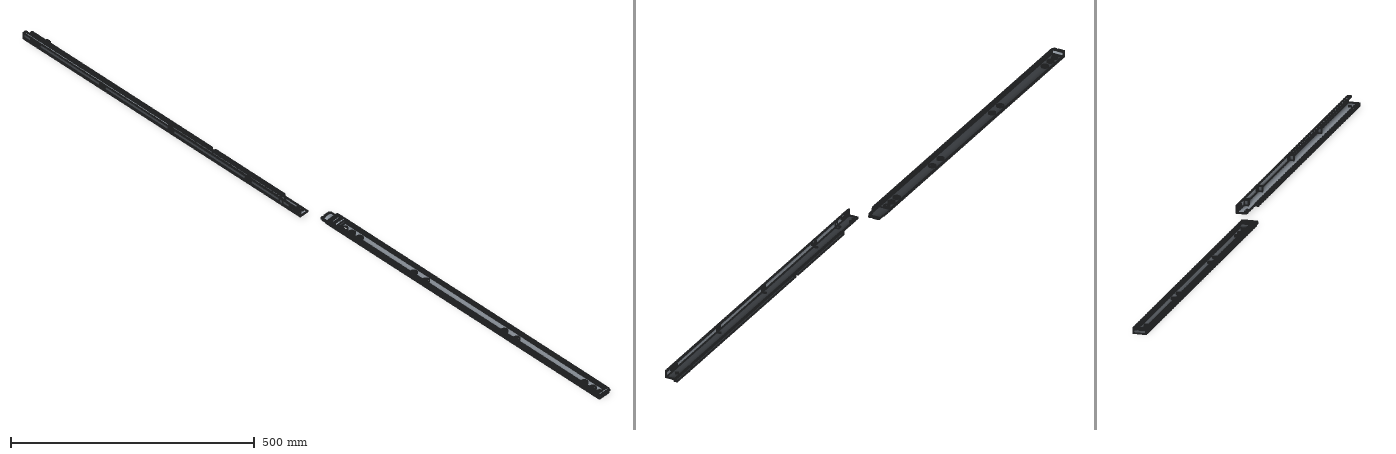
import cadquery as cq

LENGTH = 1617.33
WIDTH = 59.55
HEIGHT = 23.24
X_MIN, X_MAX = -LENGTH / 2, LENGTH / 2
Y_MIN, Y_MAX = -WIDTH / 2, WIDTH / 2
Z_MIN, Z_MAX = -HEIGHT / 2, HEIGHT / 2

SHEET = 1.5

BRACKET_LENGTH = 789.0
BRACKET_END = X_MIN + BRACKET_LENGTH
TAB_DEPTH = 2.5
WALL_Y = Y_MIN + TAB_DEPTH
FLOOR_TOP = -2.0
FLOOR_BOTTOM = FLOOR_TOP - SHEET
FLOOR_EDGE_Y = -5.5
WALL_HOLE_Z = 5.0
WALL_HOLE_DIAMETER = 8.0
WALL_HOLE_X = (-581.0, -386.0, -165.0)
WALL_SLOT_LENGTH = 25.0
WALL_SLOT_X = (-775.0, -38.0)
FLANGE_WIDTH = 7.5
FLANGE_END = -397.0
LUGS = ((-590.0, 4.0), (-395.0, 4.0), (-173.0, 4.0), (-76.0, 10.0))
LUG_REACH = 10.0
LUG_TOP = 9.0
FLOOR_HOLE_DIAMETER = 5.0
FLOOR_HOLES = ((-783.0, -15.0), (-42.0, -10.0), (-31.0, -10.0))
OUTER_TABS = ((-168.0, 12.0), (-39.0, 16.0))
TAB_HEIGHT = 8.0

STRIP_LENGTH = 720.0
STRIP_END = X_MIN + STRIP_LENGTH
STRIP_BACK_Y = -1.0
STRIP_FRONT_Y = -8.0
STRIP_BOTTOM = -7.0
NOTCH_WIDTH = 9.0
EDGE_NOTCH_X = -291.0
FACE_NOTCH_X = -739.0
FACE_NOTCH_DEPTH = 2.0
NIB_X = -765.0
NIB_LENGTH = 9.0
NIB_REACH = 3.5

RAIL_START = 8.5
RAIL_WIDTH = 28.0
RAIL_HEIGHT = 10.8
RAIL_TOP = Z_MIN + RAIL_HEIGHT
RAIL_MID_Y = Y_MAX - RAIL_WIDTH / 2
LIP_WIDTH = 4.0
GROOVE_HEIGHT = 3.0
GROOVE_DEPTH = 0.5
FRONT_TONGUE = 18.0
REAR_TONGUE = 4.0
CHANNEL_START = RAIL_START + FRONT_TONGUE
CHANNEL_END = X_MAX - REAR_TONGUE
WALL_CHAMFER_LENGTH = 5.0
TONGUE_HEIGHT = 5.0
FRONT_STOP_LENGTH = 24.0
STOP_GROOVES = (36.0, 46.0)
STOP_GROOVE_WIDTH = 4.0
STOP_GROOVE_DEPTH = 3.0
REAR_STOP_LENGTH = 6.0
PRONGS = ((21.0, 14.0), (7.5, 5.0))
PRONG_LENGTH = 5.0
RAIL_HOLE_DIAMETER = 5.0
COUNTERBORE_DIAMETER = 14.0
COUNTERBORE_DEPTH = 1.0
RAIL_HOLE_X = (86.0, 108.0, 262.0, 297.0, 520.0, 555.0, 748.0, 772.0)
END_HOLE_DIAMETER = 12.0
END_HOLE_X = (66.0, 791.0)


def block(x, y, z):
    """Box between pairs of limits along each axis."""
    size = (x[1] - x[0], y[1] - y[0], z[1] - z[0])
    return cq.Workplane("XY").box(*size, centered=False).translate((x[0], y[0], z[0]))


def centred(middle, length):
    """Pair of limits about a middle."""
    return (middle - length / 2, middle + length / 2)


def upright_cutter(diameter, places):
    """Vertical drills at the given (x, y) places."""
    return cq.Workplane("XY", origin=(0, 0, Z_MIN)).pushPoints(places).circle(diameter / 2).extrude(HEIGHT)


def make_bracket():
    length = (X_MIN, BRACKET_END)
    body = block(length, (WALL_Y, WALL_Y + SHEET), (FLOOR_BOTTOM, Z_MAX))
    body = body.union(block(length, (WALL_Y, FLOOR_EDGE_Y), (FLOOR_BOTTOM, FLOOR_TOP)))
    flange_z = (Z_MAX - SHEET, Z_MAX)
    body = body.union(block((X_MIN, FLANGE_END), (WALL_Y, WALL_Y + FLANGE_WIDTH), flange_z))
    for x, lug_length in LUGS:
        lug_y = (WALL_Y, WALL_Y + LUG_REACH)
        body = body.union(block(centred(x, lug_length), lug_y, (FLOOR_TOP, LUG_TOP)))
    for x, tab_length in OUTER_TABS:
        tab_z = centred(WALL_HOLE_Z, TAB_HEIGHT)
        body = body.union(block(centred(x, tab_length), (Y_MIN, WALL_Y), tab_z))
    wall_plane = cq.Workplane("XZ", origin=(0, WALL_Y + SHEET, 0))
    holes = wall_plane.pushPoints([(x, WALL_HOLE_Z) for x in WALL_HOLE_X])
    holes = holes.circle(WALL_HOLE_DIAMETER / 2).extrude(SHEET)
    slots = wall_plane.pushPoints([(x, WALL_HOLE_Z) for x in WALL_SLOT_X])
    slots = slots.slot2D(WALL_SLOT_LENGTH, WALL_HOLE_DIAMETER).extrude(SHEET)
    floor_holes = upright_cutter(FLOOR_HOLE_DIAMETER, FLOOR_HOLES)
    return body.cut(holes).cut(slots).cut(floor_holes)


def make_strip():
    length = (X_MIN, STRIP_END)
    body = block(length, (STRIP_FRONT_Y, STRIP_BACK_Y), (STRIP_BOTTOM, FLOOR_BOTTOM))
    step = block(length, (FLOOR_EDGE_Y, STRIP_BACK_Y), (FLOOR_BOTTOM, FLOOR_TOP))
    nib_y = (STRIP_BACK_Y, STRIP_BACK_Y + NIB_REACH)
    nib = block(centred(NIB_X, NIB_LENGTH), nib_y, (FLOOR_BOTTOM, FLOOR_TOP))
    body = body.union(step).union(nib)
    height = (STRIP_BOTTOM, FLOOR_TOP)
    edge_notch = block(centred(EDGE_NOTCH_X, NOTCH_WIDTH), (FLOOR_EDGE_Y, STRIP_BACK_Y), height)
    face_notch = block(
        centred(FACE_NOTCH_X, NOTCH_WIDTH), (STRIP_FRONT_Y, STRIP_FRONT_Y + FACE_NOTCH_DEPTH), height
    )
    return body.cut(edge_notch).cut(face_notch)


def rail_channel():
    half = RAIL_WIDTH / 2
    inner = half - SHEET
    lip = half - LIP_WIDTH
    lip_bottom = RAIL_TOP - SHEET
    right_half = [
        (half, Z_MIN), (half, RAIL_TOP), (lip, RAIL_TOP),
        (lip, lip_bottom), (inner, lip_bottom), (inner, Z_MIN + SHEET),
    ]
    left_half = [(-y, z) for y, z in reversed(right_half)]
    section_plane = cq.Workplane("YZ", origin=(CHANNEL_START, RAIL_MID_Y, 0))
    return section_plane.polyline(right_half + left_half).close().extrude(CHANNEL_END - CHANNEL_START)


def rail_front_slope():
    """Wedge that slopes the front ends of both walls and lips."""
    corners = [
        (CHANNEL_START, Z_MIN + SHEET),
        (CHANNEL_START, RAIL_TOP),
        (CHANNEL_START + WALL_CHAMFER_LENGTH, RAIL_TOP),
    ]
    return cq.Workplane("XZ", origin=(0, Y_MAX, 0)).polyline(corners).close().extrude(RAIL_WIDTH)


def rail_track_grooves():
    length = (CHANNEL_START, CHANNEL_END)
    height = centred(Z_MIN + RAIL_HEIGHT / 2, GROOVE_HEIGHT)
    far_groove = block(length, (Y_MAX - GROOVE_DEPTH, Y_MAX), height)
    return far_groove.union(far_groove.mirror("XZ", (0, RAIL_MID_Y, 0)))


def rail_counterbored_holes():
    places = [(x, RAIL_MID_Y) for x in RAIL_HOLE_X]
    floor_top = cq.Workplane("XY", origin=(0, 0, Z_MIN + SHEET)).pushPoints(places)
    shanks = floor_top.circle(RAIL_HOLE_DIAMETER / 2).extrude(-SHEET)
    heads = floor_top.circle(COUNTERBORE_DIAMETER / 2).extrude(-COUNTERBORE_DEPTH)
    return shanks.union(heads)


def make_rail():
    inside = centred(RAIL_MID_Y, RAIL_WIDTH - 2 * SHEET)
    floor = (Z_MIN, Z_MIN + SHEET)
    lip_layer = (RAIL_TOP - SHEET, RAIL_TOP)
    body = rail_channel().cut(rail_front_slope()).cut(rail_track_grooves())
    front_stop_x = CHANNEL_START + WALL_CHAMFER_LENGTH
    tongue_z = (Z_MIN, Z_MIN + TONGUE_HEIGHT)
    body = body.union(block((RAIL_START + PRONG_LENGTH, front_stop_x), inside, tongue_z))
    front_stop = block((front_stop_x, front_stop_x + FRONT_STOP_LENGTH), inside, (Z_MIN, RAIL_TOP))
    for x in STOP_GROOVES:
        groove_z = (RAIL_TOP - STOP_GROOVE_DEPTH, RAIL_TOP)
        front_stop = front_stop.cut(block(centred(x, STOP_GROOVE_WIDTH), inside, groove_z))
    rear_stop = block((CHANNEL_END - REAR_STOP_LENGTH, CHANNEL_END), inside, (Z_MIN, RAIL_TOP))
    body = body.union(front_stop).union(rear_stop)
    for y, width in PRONGS:
        prong_y = centred(y, width)
        body = body.union(block((RAIL_START, RAIL_START + PRONG_LENGTH), prong_y, floor))
        body = body.union(block((CHANNEL_END - SHEET, X_MAX), prong_y, lip_layer))
    end_holes = upright_cutter(END_HOLE_DIAMETER, [(x, RAIL_MID_Y) for x in END_HOLE_X])
    return body.cut(rail_counterbored_holes()).cut(end_holes)


bracket = make_bracket()
support_strip = make_strip()
rail = make_rail()
result = cq.Compound.makeCompound([bracket.val(), support_strip.val(), rail.val()])